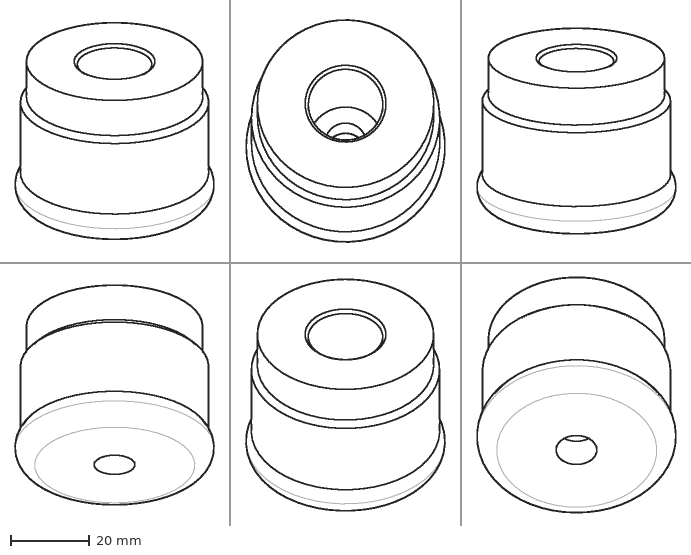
import cadquery as cq

outer_diameter = 50.8
total_height = 40.0

bead_radius = 5.0
foot_hole_radius = 5.2

body_radius = 24.05
neck_radius = 22.5
neck_length = 10.0
bore_radius = 9.5
bore_chamfer = 0.8

foot_radius = outer_diameter / 2
bead_center = foot_radius - bead_radius
bead_reach = body_radius - bead_center
foot_height = bead_radius + (bead_radius**2 - bead_reach**2) ** 0.5

shoulder_top = total_height - neck_length
shoulder_bottom = shoulder_top - (body_radius - neck_radius)


def revolve_about_z(profile):
    """Turn a closed radius-height profile about the Z axis."""
    return profile.close().revolve(360, (0, 0, 0), (0, 1, 0))


def make_foot():
    """Disc with a beaded rim, a flat top and a central through hole."""
    profile = (
        cq.Workplane("XZ")
        .moveTo(foot_hole_radius, 0)
        .lineTo(bead_center, 0)
        .radiusArc((foot_radius, bead_radius), -bead_radius)
        .radiusArc((body_radius, foot_height), -bead_radius)
        .lineTo(foot_hole_radius, foot_height)
    )
    return revolve_about_z(profile)


def make_sleeve():
    """Stepped cylinder with a conical shoulder and a bore chamfered at the top."""
    profile = (
        cq.Workplane("XZ")
        .moveTo(bore_radius, foot_height)
        .lineTo(body_radius, foot_height)
        .lineTo(body_radius, shoulder_bottom)
        .lineTo(neck_radius, shoulder_top)
        .lineTo(neck_radius, total_height)
        .lineTo(bore_radius + bore_chamfer, total_height)
        .lineTo(bore_radius, total_height - bore_chamfer)
    )
    return revolve_about_z(profile)


foot = make_foot()
sleeve = make_sleeve()
result = cq.Compound.makeCompound([foot.val(), sleeve.val()])